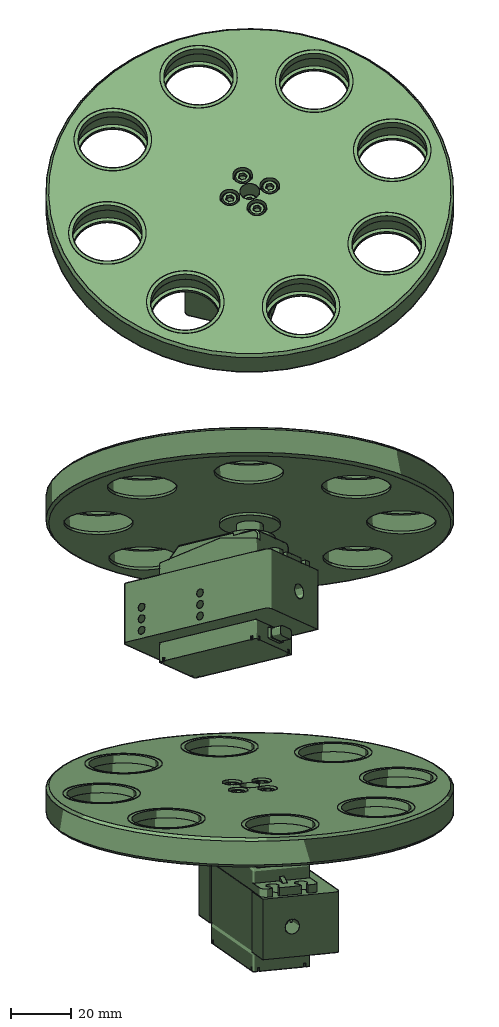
import cadquery as cq
import math


wheel_radius = 67.5
wheel_thickness = 10.0
wheel_chamfer = 1.0
cell_count = 8
cell_circle_radius = 50.1
cell_start_angle = 36.0
cell_opening_radius = 11.5
cell_cavity_radius = 12.8
cell_upper_lip = 3.0
cell_lower_lip = 1.0
cell_top_step = 0.1

screw_count = 4
screw_circle_radius = 7.0
screw_head_radius = 2.7
screw_head_height = 3.0
screw_head_chamfer = 0.4
screw_shank_radius = 1.5
outer_shank_length = 7.0
centre_shank_length = 6.0
socket_sides = 6
socket_across_corners = 2.8
socket_depth = 1.3
socket_tip_depth = 0.5
counterbore_radius = 3.2
outer_counterbore_depth = 3.5
centre_counterbore_depth = 8.0
outer_seat_z = wheel_thickness - outer_counterbore_depth
centre_seat_z = wheel_thickness - centre_counterbore_depth

horn_radius = 10.1
horn_flange_thickness = 1.0
hub_radius = 4.5
hub_bottom_z = -4.9

case_width = 20.1
case_length = 40.0
case_centre_y = 10.0
case_min_y = case_centre_y - case_length / 2
case_max_y = case_centre_y + case_length / 2
case_bottom_z = -45.5
case_edge_fillet = 0.5
shaft_collar_radius = 4.9
roof_peak_y = 4.9
roof_peak_z = -7.0
roof_front_z = -10.1
roof_back_z = -10.7
roof_edge_fillet = 0.5
base_top_z = -39.8
waist_inset = 0.1
waist_bevel_height = 1.1
base_notch_inset = 1.9
base_notch_width = 0.7
base_notch_height = 1.2
base_notch_depth = 0.4
waist_bottom_z = base_top_z + waist_bevel_height
waist_width = case_width - 2 * waist_inset
waist_min_y = case_min_y + waist_inset
waist_max_y = case_max_y - waist_inset

cover_top_z = -5.4
cover_front_z = -6.2
cover_width = 16.9
cover_slope_top_y = 23.4
cover_slope_bottom_y = 27.7
cover_slope_bottom_z = -9.7
cover_front_fillet = 2.7
cover_side_chamfer = 0.5
round_end_bottom_z = -7.0

ear_length = 56.3
ear_thickness = 2.8
ear_corner_radius = 2.0
ear_hole_radius = 2.2
ear_hole_inset = 3.4
ear_hole_spacing = 10.1
ear_slot_width = 2.4
gusset_width = 1.6
gusset_length = 3.4
gusset_height = 1.5

outlet_z = -41.6
outlet_flange_width = 7.0
outlet_flange_height = 4.0
outlet_flange_length = 1.2
outlet_width = 6.2
outlet_height = 3.6
outlet_length = 4.9
outlet_flange_corner = 0.8
outlet_corner = 1.2

bracket_min_x = -17.0
bracket_max_x = 10.4
bracket_min_y = -20.2
bracket_max_y = 40.0
bracket_top_z = -18.0
bracket_height = 20.8
bracket_corner_radius = 2.0
arm_hole_diameter = 5.0
mount_hole_radius = 1.3
mount_hole_top_z = -27.8
mount_hole_pitch = 4.0
mount_hole_count = 3
mount_hole_back_y = 32.0
mount_hole_mid_y = 8.0
mount_hole_depth = 15.0
mount_hole_tip_depth = 0.8
bracket_bottom_z = bracket_top_z - bracket_height
arm_hole_z = bracket_top_z - bracket_height / 2


def box(x_min, x_max, y_min, y_max, z_min, z_max):
    """Box given by its limits along each axis."""
    size = (x_max - x_min, y_max - y_min, z_max - z_min)
    return cq.Workplane("XY").box(*size, centered=False).translate((x_min, y_min, z_min))


def cylinder(radius, z_min, z_max, x=0.0, y=0.0):
    """Upright cylinder between two heights."""
    return cq.Workplane("XY", origin=(x, y, z_min)).circle(radius).extrude(z_max - z_min)


def ring_points(radius, count, start_angle):
    """Evenly spaced points on a circle about the shaft."""
    angles = [math.radians(start_angle + i * 360 / count) for i in range(count)]
    return [(radius * math.cos(a), radius * math.sin(a)) for a in angles]


screw_points = ring_points(screw_circle_radius, screw_count, cell_start_angle)


def make_screw(x, y, seat_z, shank_length):
    """Cap screw whose head rests on seat_z, with a hexagon socket that ends in a drill cone."""
    head_top_z = seat_z + screw_head_height
    head = cylinder(screw_head_radius, seat_z, head_top_z).faces(">Z").chamfer(screw_head_chamfer)
    shank = cylinder(screw_shank_radius, seat_z - shank_length, seat_z)
    socket_floor_z = head_top_z - socket_depth
    half_side_angle = 180 / socket_sides
    socket = (
        cq.Workplane("XY", origin=(0, 0, socket_floor_z))
        .polygon(socket_sides, socket_across_corners)
        .extrude(socket_depth)
        .rotate((0, 0, 0), (0, 0, 1), half_side_angle)
    )
    flat_radius = socket_across_corners / 2 * math.cos(math.radians(half_side_angle))
    tip_start = cq.Vector(0, 0, socket_floor_z)
    tip = cq.Workplane(
        cq.Solid.makeCone(flat_radius, 0, socket_tip_depth, tip_start, cq.Vector(0, 0, -1))
    )
    return head.union(shank).cut(socket).cut(tip).translate((x, y, 0))


def cell_cutter(x, y):
    """Filter cell: a wide cavity held between an upper and a lower lip."""
    opening = cylinder(cell_opening_radius, 0, wheel_thickness, x, y)
    cavity = cylinder(cell_cavity_radius, cell_lower_lip, wheel_thickness - cell_upper_lip, x, y)
    top_step = cylinder(cell_cavity_radius, wheel_thickness - cell_top_step, wheel_thickness, x, y)
    return opening.union(cavity).union(top_step)


def make_wheel():
    wheel = cylinder(wheel_radius, 0, wheel_thickness).faces("<Z or >Z").chamfer(wheel_chamfer)
    for x, y in ring_points(cell_circle_radius, cell_count, cell_start_angle):
        wheel = wheel.cut(cell_cutter(x, y))
    for x, y in screw_points:
        wheel = wheel.cut(cylinder(counterbore_radius, outer_seat_z, wheel_thickness, x, y))
        wheel = wheel.cut(cylinder(screw_shank_radius, 0, outer_seat_z, x, y))
    wheel = wheel.cut(cylinder(counterbore_radius, centre_seat_z, wheel_thickness))
    return wheel.cut(cylinder(screw_shank_radius, 0, centre_seat_z))


def make_horn():
    horn = cylinder(horn_radius, -horn_flange_thickness, 0)
    horn = horn.union(cylinder(hub_radius, hub_bottom_z, 0))
    for x, y in screw_points:
        horn = horn.cut(cylinder(screw_shank_radius, outer_seat_z - outer_shank_length, 0, x, y))
    return horn.cut(cylinder(screw_shank_radius, centre_seat_z - centre_shank_length, 0))


def side_profile(points, width):
    """Outline in the YZ plane, extruded evenly to both sides of X = 0."""
    return cq.Workplane("YZ").polyline(points).close().extrude(width / 2, both=True)


def make_upper_case():
    """Part of the case above the ears, with a shallow roof."""
    upper = side_profile(
        [
            (case_min_y, bracket_top_z),
            (case_max_y, bracket_top_z),
            (case_max_y, roof_back_z),
            (roof_peak_y, roof_peak_z),
            (case_min_y, roof_front_z),
        ],
        case_width,
    )
    sloped_edges = "not (|X or |Y or |Z)"
    return upper.edges(sloped_edges).fillet(roof_edge_fillet).edges("|Z").fillet(case_edge_fillet)


def make_waist():
    """Narrower part of the case that fills the bracket opening."""
    half_width = waist_width / 2
    return box(-half_width, half_width, waist_min_y, waist_max_y, waist_bottom_z, bracket_top_z)


def base_notch(x, y, x_size, y_size):
    """Small notch in the bottom edge of the base, centred at x, y."""
    notch = cq.Workplane("XY", origin=(x, y, case_bottom_z)).rect(x_size, y_size)
    return notch.extrude(base_notch_height)


def make_base():
    """Base of the case, drawn in to the waist by a bevel and notched near each bottom corner."""
    half_width = case_width / 2
    base = box(-half_width, half_width, case_min_y, case_max_y, case_bottom_z, base_top_z)
    base = base.edges("|Z").fillet(case_edge_fillet)
    bevel_angle = math.degrees(math.atan(waist_inset / waist_bevel_height))
    base = base.faces(">Z").wires().toPending().extrude(waist_bevel_height, taper=bevel_angle)
    notch_x = half_width - base_notch_inset
    for side in (-1, 1):
        for end in (-1, 1):
            end_y = case_centre_y + end * case_length / 2
            notch_y = end_y - end * base_notch_inset
            base = base.cut(base_notch(side * notch_x, end_y, base_notch_width, 2 * base_notch_depth))
            base = base.cut(base_notch(side * half_width, notch_y, 2 * base_notch_depth, base_notch_width))
    return base


def make_cover():
    """Gearbox cover with chamfered sides, a rounded front edge and a raised round front end."""
    slope = (cover_slope_bottom_z - cover_top_z) / (cover_slope_bottom_y - cover_slope_top_y)
    foot_y = cover_slope_top_y + (roof_back_z - cover_top_z) / slope
    body = side_profile(
        [
            (case_min_y, roof_back_z),
            (foot_y, roof_back_z),
            (cover_slope_top_y, cover_top_z),
            (0, cover_top_z),
            (0, cover_front_z),
            (case_min_y, cover_front_z),
        ],
        cover_width,
    )
    front_edge = cq.selectors.NearestToPointSelector((0, case_min_y, cover_front_z))
    body = body.edges(front_edge).fillet(cover_front_fillet)
    body = body.faces("<X or >X").chamfer(cover_side_chamfer)
    return body.union(cylinder(cover_width / 2, round_end_bottom_z, cover_top_z))


def make_ears():
    """Ear plate with four screw holes, each open to the nearest end through a slot."""
    ear_bottom_z = bracket_top_z
    ears = (
        cq.Workplane("XY", origin=(0, case_centre_y, ear_bottom_z))
        .rect(case_width, ear_length)
        .extrude(ear_thickness)
        .edges("|Z")
        .fillet(ear_corner_radius)
    )
    ear_top_z = ear_bottom_z + ear_thickness
    for end in (-1, 1):
        end_y = case_centre_y + end * ear_length / 2
        hole_y = end_y - end * ear_hole_inset
        for side in (-1, 1):
            x = side * ear_hole_spacing / 2
            half_slot = ear_slot_width / 2
            ears = ears.cut(cylinder(ear_hole_radius, ear_bottom_z, ear_top_z, x, hole_y))
            slot_ends = sorted((hole_y, end_y))
            ears = ears.cut(box(x - half_slot, x + half_slot, *slot_ends, ear_bottom_z, ear_top_z))
        case_y = case_centre_y + end * case_length / 2
        gusset = side_profile(
            [
                (case_y, ear_top_z),
                (case_y + end * gusset_length, ear_top_z),
                (case_y, ear_top_z + gusset_height),
            ],
            gusset_width,
        )
        ears = ears.union(gusset)
    return ears


def outlet_block(width, height, length, corner):
    """Block with rounded long edges that stands out from the -Y end of the case."""
    block = box(
        -width / 2,
        width / 2,
        case_min_y - length,
        case_min_y,
        outlet_z - height / 2,
        outlet_z + height / 2,
    )
    return block.edges("|Y").fillet(corner)


def make_servo():
    servo = make_base().union(make_waist()).union(make_upper_case()).union(make_ears()).union(make_cover())
    servo = servo.union(cylinder(shaft_collar_radius, cover_top_z, hub_bottom_z))
    servo = servo.union(
        outlet_block(outlet_flange_width, outlet_flange_height, outlet_flange_length, outlet_flange_corner)
    )
    return servo.union(outlet_block(outlet_width, outlet_height, outlet_length, outlet_corner))


def mount_hole(y, z):
    """Blind hole from the back plate along +X with a conical tip."""
    start = cq.Vector(bracket_min_x, y, z)
    along_x = cq.Vector(1, 0, 0)
    bore = cq.Solid.makeCylinder(mount_hole_radius, mount_hole_depth, start, along_x)
    tip_start = start + along_x * mount_hole_depth
    tip = cq.Solid.makeCone(mount_hole_radius, 0, mount_hole_tip_depth, tip_start, along_x)
    return cq.Workplane(bore).union(cq.Workplane(tip))


def make_bracket():
    """U-shaped bracket: a back plate on -X and two thick arms on either end of the servo case."""
    bracket = box(
        bracket_min_x, bracket_max_x, bracket_min_y, bracket_max_y, bracket_bottom_z, bracket_top_z
    )
    bracket = bracket.edges("|Z and <X").fillet(bracket_corner_radius)
    bracket = bracket.cut(
        box(-waist_width / 2, bracket_max_x, waist_min_y, waist_max_y, bracket_bottom_z, bracket_top_z)
    )
    arm_hole = (
        cq.Workplane("XZ", origin=(0, bracket_max_y, arm_hole_z))
        .circle(arm_hole_diameter / 2)
        .extrude(bracket_max_y - bracket_min_y)
    )
    bracket = bracket.cut(arm_hole)
    for y in (mount_hole_back_y, mount_hole_mid_y):
        for row in range(mount_hole_count):
            bracket = bracket.cut(mount_hole(y, mount_hole_top_z - row * mount_hole_pitch))
    return bracket


wheel = make_wheel()
horn = make_horn()
servo = make_servo()
bracket = make_bracket()
outer_screws = [make_screw(x, y, outer_seat_z, outer_shank_length) for x, y in screw_points]
centre_screw = make_screw(0, 0, centre_seat_z, centre_shank_length)

result = cq.Compound.makeCompound(
    [wheel.val(), horn.val(), servo.val(), bracket.val()]
    + [screw.val() for screw in outer_screws]
    + [centre_screw.val()]
)